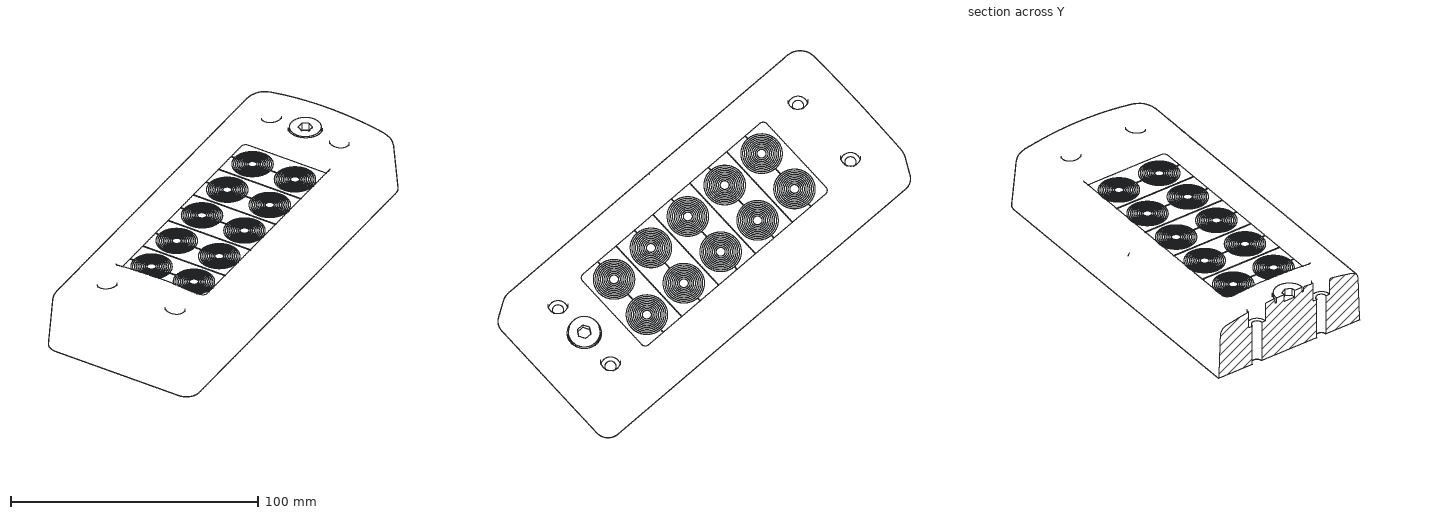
import cadquery as cq
import math

LENGTH = 168.0
WIDTH = 70.0
HEIGHT = 28.5
DRAFT_INSET = 1.0
BASE_CORNER_RADIUS = 6.0
TOP_CORNER_RADIUS = 8.5
CROWN_RADIUS = 139.5
EDGE_FILLET = 4.0

MODULE_PITCH = 20.0
COLUMNS = 2
ROWS = 5
MODULE_FACE_Z = 22.0
SEAM_WIDTH = 0.2
SEAM_DEPTH = 0.2

WINDOW_WIDTH = COLUMNS * MODULE_PITCH
WINDOW_LENGTH = ROWS * MODULE_PITCH
WINDOW_DRAFT_INSET = 2.0
WINDOW_FLOOR_CORNER_RADIUS = 2.0
WINDOW_TOP_CORNER_RADIUS = 3.0
WINDOW_RIM_FILLET = 2.0

CORE_DIAMETER = 3.7
LAYERS_DIAMETER = 16.8
LAYER_GROOVES = 5
LAYER_GROOVE_DEPTH = 0.2

HOLE_X = 16.0
HOLE_Y = 65.0
HOLE_DIAMETER = 4.5
COUNTERBORE_DIAMETER = 8.0
COUNTERBORE_DEPTH = 8.4
MOUTH_FILLET = 0.7

SCREW_HOLE_DIAMETER = 14.0
SCREW_HEAD_DIAMETER = 13.0
SCREW_GAP_DEPTH = 2.5
SCREW_HEAD_SINK = 0.2
HEX_ACROSS_FLATS = 5.0
HEX_DEPTH = 3.4

SELECTION_MARGIN = 0.2


def rounded_frustum(bottom_size, bottom_radius, top_size, top_radius, bottom_z, top_z):
    """Loft between two rounded rectangles whose sizes are (width, length)."""
    bottom = cq.Sketch().rect(*bottom_size).vertices().fillet(bottom_radius)
    top = cq.Sketch().rect(*top_size).vertices().fillet(top_radius)
    top = top.moved(cq.Location(cq.Vector(0, 0, top_z - bottom_z)))
    return cq.Workplane("XY", origin=(0, 0, bottom_z)).placeSketch(bottom, top).loft()


def grown(size, inset):
    """A (width, length) size moved outward by the inset on all four sides."""
    return tuple(side + 2 * inset for side in size)


def cylinder(diameter, bottom_z, top_z, x, y):
    base = cq.Workplane("XY", origin=(x, y, bottom_z))
    return base.circle(diameter / 2).extrude(top_z - bottom_z)


def crown_z(x):
    """Height of the top face at a distance x from the centre line."""
    return HEIGHT - CROWN_RADIUS + math.sqrt(CROWN_RADIUS**2 - x**2)


def round_mouth(body, x, y, size, radius):
    """Round the edges where an opening of (width, length) size meets the crowned top."""
    half_width = size[0] / 2 + SELECTION_MARGIN
    half_length = size[1] / 2 + SELECTION_MARGIN
    lowest_z = crown_z(abs(x) + half_width) - SELECTION_MARGIN
    mouth = cq.selectors.BoxSelector(
        (x - half_width, y - half_length, lowest_z),
        (x + half_width, y + half_length, HEIGHT + SELECTION_MARGIN),
        boundingbox=True,
    )
    return body.edges(mouth).fillet(radius)


def make_housing():
    """Drafted block with a crowned top and a rounded upper edge."""
    base_size = (WIDTH, LENGTH)
    block = rounded_frustum(
        base_size, BASE_CORNER_RADIUS, grown(base_size, -DRAFT_INSET), TOP_CORNER_RADIUS, 0, HEIGHT
    )
    crown = (
        cq.Workplane("XZ", origin=(0, 0, HEIGHT - CROWN_RADIUS))
        .circle(CROWN_RADIUS)
        .extrude(LENGTH / 2, both=True)
    )
    return block.intersect(crown).faces(">Z").edges().fillet(EDGE_FILLET)


def add_window(body):
    """Tapered window with a rounded rim, down to the module faces."""
    floor_size = (WINDOW_WIDTH, WINDOW_LENGTH)
    top_size = grown(floor_size, WINDOW_DRAFT_INSET)
    opening = rounded_frustum(
        floor_size, WINDOW_FLOOR_CORNER_RADIUS, top_size, WINDOW_TOP_CORNER_RADIUS, MODULE_FACE_Z, HEIGHT
    )
    return round_mouth(body.cut(opening), 0, 0, top_size, WINDOW_RIM_FILLET)


def core_centers(z):
    """Workplane at height z with a point on the axis of every cable core."""
    return cq.Workplane("XY", origin=(0, 0, z)).rarray(MODULE_PITCH, MODULE_PITCH, COLUMNS, ROWS)


def add_module_seams(body):
    """Fine grooves between the modules and along their split lines, interrupted at the cores."""
    seam_floor_z = MODULE_FACE_Z - SEAM_DEPTH
    seam_pitch = MODULE_PITCH / 2
    seam_count = 2 * ROWS - 1
    seams = (
        cq.Workplane("XY", origin=(0, 0, seam_floor_z))
        .rarray(WINDOW_WIDTH, seam_pitch, 1, seam_count)
        .rect(WINDOW_WIDTH, SEAM_WIDTH)
        .extrude(SEAM_DEPTH)
    )
    discs = core_centers(seam_floor_z).circle(LAYERS_DIAMETER / 2).extrude(SEAM_DEPTH)
    return body.cut(seams.cut(discs))


def add_layer_grooves(body):
    """Concentric grooves around every core; grooves and lands are equally wide."""
    ring_width = (LAYERS_DIAMETER - CORE_DIAMETER) / 2 / (2 * LAYER_GROOVES - 1)
    centers = core_centers(MODULE_FACE_Z - LAYER_GROOVE_DEPTH)
    for index in range(LAYER_GROOVES):
        inner_radius = CORE_DIAMETER / 2 + 2 * index * ring_width
        disc = centers.circle(inner_radius + ring_width).extrude(LAYER_GROOVE_DEPTH)
        land = centers.circle(inner_radius).extrude(LAYER_GROOVE_DEPTH)
        body = body.cut(disc.cut(land))
    return body


def add_mounting_hole(body, x, y):
    """Through hole with a round-mouthed counterbore."""
    counterbore_z = crown_z(x) - COUNTERBORE_DEPTH
    body = body.cut(cylinder(COUNTERBORE_DIAMETER, counterbore_z, HEIGHT, x, y))
    body = round_mouth(body, x, y, (COUNTERBORE_DIAMETER, COUNTERBORE_DIAMETER), MOUTH_FILLET)
    return body.cut(cylinder(HOLE_DIAMETER, 0, HEIGHT, x, y))


def add_screw(body):
    """Hex socket screw head sunk in its round-mouthed hole."""
    head_z = HEIGHT - SCREW_HEAD_SINK
    gap_z = HEIGHT - SCREW_GAP_DEPTH
    body = body.cut(cylinder(SCREW_HOLE_DIAMETER, gap_z, HEIGHT, 0, HOLE_Y))
    body = round_mouth(body, 0, HOLE_Y, (SCREW_HOLE_DIAMETER, SCREW_HOLE_DIAMETER), MOUTH_FILLET)
    head = cylinder(SCREW_HEAD_DIAMETER, gap_z, head_z, 0, HOLE_Y)
    socket = (
        cq.Workplane("XY", origin=(0, HOLE_Y, head_z))
        .polygon(6, HEX_ACROSS_FLATS, circumscribed=True)
        .extrude(-HEX_DEPTH)
    )
    return body.union(head).cut(socket)


result = make_housing()
result = add_window(result)
result = add_module_seams(result)
result = add_layer_grooves(result)
for hole_x in (-HOLE_X, HOLE_X):
    for hole_y in (-HOLE_Y, HOLE_Y):
        result = add_mounting_hole(result, hole_x, hole_y)
result = add_screw(result)